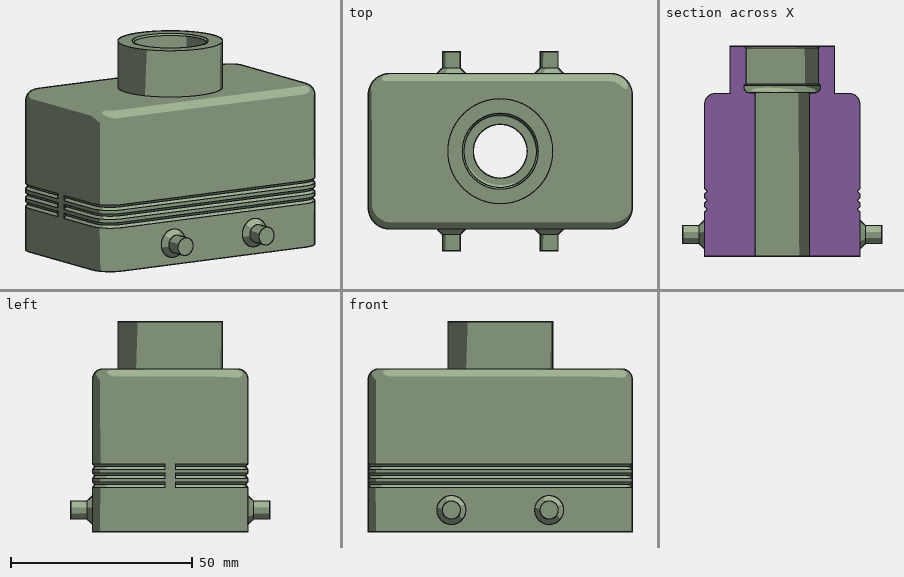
import cadquery as cq
import math

BODY_LENGTH = 73.0
BODY_WIDTH = 43.0
BODY_HEIGHT = 45.0
CORNER_RADIUS = 6.0
TOP_FILLET = 3.0

COLLAR_DIAMETER = 29.0
TOTAL_HEIGHT = 58.0
BORE_DIAMETER = 20.0
BORE_DEPTH = 12.8
BORE_CHAMFER = 0.5
UNDERCUT_DEPTH = 10.4
FLOOR_DIAMETER = 18.0
CABLE_HOLE_DIAMETER = 14.8

PEG_DIAMETER = 5.0
PEG_SPACING = 27.0
PEG_HEIGHT = 6.0
PEG_TIP_SPAN = 55.0
PEG_CONE_LENGTH = 1.5

GROOVE_COUNT = 3
GROOVE_PITCH = 2.5
GROOVE_MIDDLE_HEIGHT = 15.5
GROOVE_WIDTH = 1.5
GROOVE_DEPTH = 0.7
GROOVE_GAP = 3.0


def make_body():
    """Solid block with rounded corners and a rounded top edge."""
    body = cq.Workplane("XY").box(BODY_LENGTH, BODY_WIDTH, BODY_HEIGHT, centered=(True, True, False))
    body = body.edges("|Z").fillet(CORNER_RADIUS)
    return body.faces(">Z").edges().fillet(TOP_FILLET)


def make_groove(height):
    """V groove running around the body, interrupted at the middle of both end faces."""
    profile = [
        (-BODY_WIDTH / 2, height + GROOVE_WIDTH / 2),
        (-BODY_WIDTH / 2 + GROOVE_DEPTH, height),
        (-BODY_WIDTH / 2, height - GROOVE_WIDTH / 2),
    ]
    straight_x = BODY_LENGTH / 2 - CORNER_RADIUS
    end_x = BODY_LENGTH / 2
    straight_y = BODY_WIDTH / 2 - CORNER_RADIUS
    diagonal = CORNER_RADIUS * math.sqrt(0.5)
    path = (
        cq.Workplane("XY", origin=(0, 0, height))
        .moveTo(0, -BODY_WIDTH / 2)
        .lineTo(straight_x, -BODY_WIDTH / 2)
        .threePointArc((straight_x + diagonal, -straight_y - diagonal), (end_x, -straight_y))
        .lineTo(end_x, -GROOVE_GAP / 2)
    )
    quarter = cq.Workplane("YZ").polyline(profile).close().sweep(path)
    half = quarter.union(quarter.mirror("YZ"))
    return half.union(half.mirror("XZ"))


def make_peg(x, side):
    """Locking peg with a conical root, pointing to -Y (side = -1) or +Y (side = 1)."""
    peg_radius = PEG_DIAMETER / 2
    wall_y = BODY_WIDTH / 2
    cone_end_y = wall_y + PEG_CONE_LENGTH
    tip_y = PEG_TIP_SPAN / 2
    root_y = wall_y - PEG_CONE_LENGTH
    root_radius = peg_radius + PEG_CONE_LENGTH
    outline = [
        (0, root_y),
        (root_radius, root_y),
        (root_radius, wall_y),
        (peg_radius, cone_end_y),
        (peg_radius, tip_y),
        (0, tip_y),
    ]
    peg = cq.Workplane("XY").polyline(outline).close().revolve(360, (0, 0), (0, 1))
    if side < 0:
        peg = peg.mirror("XZ")
    return peg.translate((x, 0, PEG_HEIGHT))


def make_collar():
    """Round collar standing on the body, with its root running down through the solid body."""
    return cq.Workplane("XY").circle(COLLAR_DIAMETER / 2).extrude(TOTAL_HEIGHT)


def make_bore():
    """Chamfered bore with a wider, rounded undercut at its floor and a through hole for the cable."""
    bore_radius = BORE_DIAMETER / 2
    wide_radius = bore_radius + BORE_CHAMFER
    floor_radius = FLOOR_DIAMETER / 2
    floor_fillet = wide_radius - floor_radius
    hole_radius = CABLE_HOLE_DIAMETER / 2
    floor_z = TOTAL_HEIGHT - BORE_DEPTH
    undercut_z = TOTAL_HEIGHT - UNDERCUT_DEPTH
    fillet_top_z = floor_z + floor_fillet
    half_diagonal = floor_fillet * math.sqrt(0.5)
    fillet_middle = (floor_radius + half_diagonal, fillet_top_z - half_diagonal)
    profile = (
        cq.Workplane("XZ")
        .moveTo(0, TOTAL_HEIGHT)
        .lineTo(wide_radius, TOTAL_HEIGHT)
        .lineTo(bore_radius, TOTAL_HEIGHT - BORE_CHAMFER)
        .lineTo(bore_radius, undercut_z)
        .lineTo(wide_radius, undercut_z - BORE_CHAMFER)
        .lineTo(wide_radius, fillet_top_z)
        .threePointArc(fillet_middle, (floor_radius, floor_z))
        .lineTo(hole_radius, floor_z)
        .lineTo(hole_radius, 0)
        .lineTo(0, 0)
        .close()
    )
    return profile.revolve(360, (0, 0), (0, 1))


result = make_body()
for index in range(GROOVE_COUNT):
    offset = (index - (GROOVE_COUNT - 1) / 2) * GROOVE_PITCH
    result = result.cut(make_groove(GROOVE_MIDDLE_HEIGHT + offset))
for peg_x in (-PEG_SPACING / 2, PEG_SPACING / 2):
    for peg_side in (-1, 1):
        result = result.union(make_peg(peg_x, peg_side))
result = result.union(make_collar()).cut(make_bore())